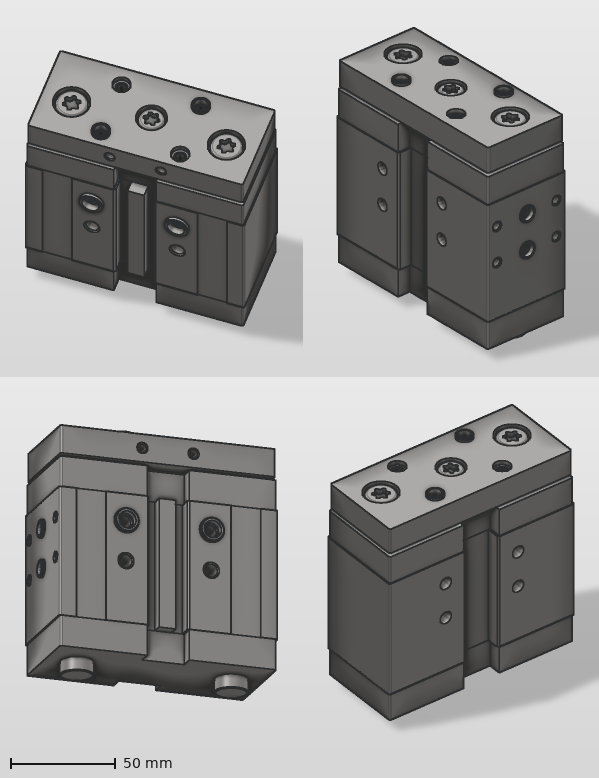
import cadquery as cq
import math

barrel_width, barrel_depth, barrel_height = 110.5, 49.1, 64.7
cap_width, cap_depth, cap_height = 109.3, 48.2, 15.3
plate_width, plate_depth, plate_height = 108.5, 47.2, 14.0
plate_gap = 1.8
corner_radius = 1.0

slot_floor_y = 16.8
barrel_slot_width = 19.4
slot_edge_chamfer = 1.0
cap_slot_width = barrel_slot_width + 2 * slot_edge_chamfer
rib_width, rib_front_y = 8.4, 22.8

recess_inner_x, recess_outer_x = 31.6, 46.6
recess_depth = (barrel_depth - cap_depth) / 2

guide_diameter, guide_x, guide_y = 16.0, 39.0, -3.6
guide_overhang, guide_chamfer = 7.0, 0.5
piston_diameter = 12.0
guide_bore_diameter, guide_head_diameter = 18.0, 15.6
piston_bore_diameter, piston_head_diameter = 15.0, 12.7
screw_bore_depth, head_drop, head_edge_radius = 4.8, 0.7, 1.0
guide_socket_diameter, piston_socket_diameter = 8.7, 8.0
socket_depth = 3.0
socket_lobes, socket_valley_ratio = 6, 0.72
guide_socket_angle, piston_socket_angle = 90, 0

small_sleeve_outer, small_sleeve_inner = 9.0, 6.6
large_sleeve_outer, large_sleeve_inner = 12.0, 8.6
sleeve_chamfer = 0.5
plate_seat_depth, plate_sleeve_rise = 2.4, 1.7
side_seat_depth, side_sleeve_rise = 1.7, 1.3
front_seat_depth, front_sleeve_rise = 1.8, 2.2

row_pitch = 20.0
upper_row_z = 66.2
lower_row_z = upper_row_z - row_pitch
through_hole_diameter, through_hole_mouth, through_hole_x = 6.6, 8.0, 21.6
plate_hole_diameter, plate_hole_mouth, plate_hole_x = 4.9, 6.0, 20.0
plate_hole_back_y, plate_hole_front_y = 14.0, -15.9
blind_diameter, blind_mouth, blind_depth = 4.3, 5.5, 9.6
side_blind_y = 18.7
plate_blind_x = 12.9
drill_point_angle = 120

barrel_bottom = cap_height
barrel_top = barrel_bottom + barrel_height
housing_top = barrel_top + cap_height
plate_bottom = housing_top + plate_gap
plate_top = plate_bottom + plate_height
barrel_front = -barrel_depth / 2
barrel_left = -barrel_width / 2
plate_front = -plate_depth / 2

guide_places = [(-guide_x, guide_y), (guide_x, guide_y)]
plate_hole_places = [(x, y) for x in (-plate_hole_x, plate_hole_x)
                     for y in (plate_hole_front_y, plate_hole_back_y)]
plate_sleeve_places = [(-plate_hole_x, plate_hole_front_y), (plate_hole_x, plate_hole_back_y)]

INTO_PLATE = (0, 0, -1)
INTO_FRONT = (0, 1, 0)
INTO_SIDE = (1, 0, 0)


def block(width, depth, height, bottom):
    """Centred block with rounded upright edges."""
    box = cq.Workplane("XY").box(width, depth, height, centered=(True, True, False))
    return box.edges("|Z").fillet(corner_radius).translate((0, 0, bottom))


def box_between(x_range, y_range, z_range):
    size = [end - start for start, end in (x_range, y_range, z_range)]
    corner = (x_range[0], y_range[0], z_range[0])
    return cq.Workplane("XY").box(*size, centered=False).translate(corner)


def cylinder(diameter, length, start, direction):
    solid = cq.Solid.makeCylinder(diameter / 2, length, cq.Vector(*start), cq.Vector(*direction))
    return cq.Workplane(obj=solid)


def cone(start_diameter, end_diameter, length, start, direction):
    solid = cq.Solid.makeCone(
        start_diameter / 2, end_diameter / 2, length, cq.Vector(*start), cq.Vector(*direction))
    return cq.Workplane(obj=solid)


def along(start, direction, distance):
    return tuple(s + d * distance for s, d in zip(start, direction))


def countersunk_hole(diameter, mouth, depth, start, direction):
    """Hole with a 45 degree mouth."""
    sink = cone(mouth, diameter, (mouth - diameter) / 2, start, direction)
    return cylinder(diameter, depth, start, direction).union(sink)


def blind_hole(start, direction):
    """Small tapped hole that ends in a drill point."""
    point_length = blind_diameter / 2 / math.tan(math.radians(drill_point_angle / 2))
    point = cone(blind_diameter, 0, point_length, along(start, direction, blind_depth), direction)
    return countersunk_hole(blind_diameter, blind_mouth, blind_depth, start, direction).union(point)


def slot_prism(width, face_y, floor_y, bottom, height):
    """Upright prism between the slot floor at floor_y and the face at face_y."""
    y_range = sorted((face_y, floor_y))
    return box_between((-width / 2, width / 2), y_range, (bottom, bottom + height))


def barrel_slot(face_y, floor_y):
    """Slot with bevelled edges where it meets the face."""
    half = barrel_slot_width / 2
    inward = math.copysign(slot_edge_chamfer, -face_y)
    outline = [
        (-half, floor_y), (half, floor_y), (half, face_y + inward), (half + slot_edge_chamfer, face_y),
        (-half - slot_edge_chamfer, face_y), (-half, face_y + inward),
    ]
    profile = cq.Workplane("XY", origin=(0, 0, barrel_bottom)).polyline(outline).close()
    return profile.extrude(barrel_height)


def rod_bores(bottom, height, with_piston):
    bores = cq.Workplane("XY", origin=(0, 0, bottom)).pushPoints(guide_places)
    bores = bores.circle(guide_diameter / 2).extrude(height)
    if with_piston:
        bores = bores.union(cylinder(piston_diameter, height, (0, 0, bottom), (0, 0, 1)))
    return bores


def make_barrel():
    barrel = block(barrel_width, barrel_depth, barrel_height, barrel_bottom)
    barrel = barrel.cut(barrel_slot(barrel_front, -slot_floor_y))
    barrel = barrel.cut(barrel_slot(-barrel_front, slot_floor_y))
    rib = slot_prism(rib_width, -rib_front_y, -slot_floor_y, barrel_bottom, barrel_height)
    barrel = barrel.union(rib)

    for x_range in ((-recess_outer_x, -recess_inner_x), (recess_inner_x, recess_outer_x)):
        y_range = (barrel_front, barrel_front + recess_depth)
        barrel = barrel.cut(box_between(x_range, y_range, (barrel_bottom, barrel_top)))

    for x in (-through_hole_x, through_hole_x):
        seat = (x, barrel_front, upper_row_z)
        seat_floor = along(seat, INTO_FRONT, front_seat_depth)
        barrel = barrel.cut(cylinder(large_sleeve_outer, front_seat_depth, seat, INTO_FRONT))
        for start in (seat_floor, (x, barrel_front, lower_row_z)):
            barrel = barrel.cut(countersunk_hole(
                through_hole_diameter, through_hole_mouth, barrel_depth, start, INTO_FRONT))

    for z in (lower_row_z, upper_row_z):
        barrel = barrel.cut(
            cylinder(small_sleeve_outer, side_seat_depth, (barrel_left, 0, z), INTO_SIDE))
        for y in (-side_blind_y, side_blind_y):
            barrel = barrel.cut(blind_hole((barrel_left, y, z), INTO_SIDE))

    return barrel.cut(rod_bores(barrel_bottom, barrel_height, with_piston=True))


def make_cap(bottom, with_piston):
    cap = block(cap_width, cap_depth, cap_height, bottom)
    for side in (-1, 1):
        cap = cap.cut(slot_prism(
            cap_slot_width, side * cap_depth / 2, side * slot_floor_y, bottom, cap_height))
    return cap.cut(rod_bores(bottom, cap_height, with_piston))


def torx_socket(diameter, place, top, first_lobe_angle):
    """Six-lobed screw socket: arcs over the lobe tips alternate with arcs through the valleys."""
    tip_radius = diameter / 2
    valley_radius = tip_radius * socket_valley_ratio
    join_radius = (tip_radius + valley_radius) / 2
    arc_angle = 360 / (2 * socket_lobes)

    def rim_point(radius, arc_steps):
        angle = math.radians(first_lobe_angle + arc_steps * arc_angle)
        return radius * math.cos(angle), radius * math.sin(angle)

    socket = cq.Workplane("XY", origin=(*place, top - socket_depth)).moveTo(*rim_point(join_radius, -0.5))
    for lobe in range(socket_lobes):
        tip = 2 * lobe
        socket = socket.threePointArc(rim_point(tip_radius, tip), rim_point(join_radius, tip + 0.5))
        socket = socket.threePointArc(rim_point(valley_radius, tip + 1), rim_point(join_radius, tip + 1.5))
    return socket.close().extrude(socket_depth)


def add_screw(plate, place, bore_diameter, head_diameter, socket_diameter, socket_angle):
    bore_floor = plate_top - screw_bore_depth
    head_top = plate_top - head_drop
    plate = plate.cut(cylinder(bore_diameter, screw_bore_depth, (*place, plate_top), INTO_PLATE))
    head = cylinder(head_diameter, head_top - bore_floor, (*place, bore_floor), (0, 0, 1))
    head = head.faces(">Z").edges().fillet(head_edge_radius)
    return plate.union(head).cut(torx_socket(socket_diameter, place, head_top, socket_angle))


def make_moving_unit():
    unit = block(plate_width, plate_depth, plate_height, plate_bottom)

    for place in plate_hole_places:
        seat = (*place, plate_top)
        seat_floor = along(seat, INTO_PLATE, plate_seat_depth)
        unit = unit.cut(cylinder(small_sleeve_outer, plate_seat_depth, seat, INTO_PLATE))
        unit = unit.cut(countersunk_hole(
            plate_hole_diameter, plate_hole_mouth, plate_height, seat_floor, INTO_PLATE))

    for x in (-plate_blind_x, plate_blind_x):
        middle_z = plate_bottom + plate_height / 2
        unit = unit.cut(blind_hole((x, plate_front, middle_z), INTO_FRONT))

    for place in guide_places:
        rod = cylinder(
            guide_diameter, plate_bottom + guide_overhang, (*place, -guide_overhang), (0, 0, 1))
        unit = unit.union(rod.faces("<Z").edges().chamfer(guide_chamfer))
        unit = add_screw(
            unit, place, guide_bore_diameter, guide_head_diameter,
            guide_socket_diameter, guide_socket_angle)

    piston_length = plate_bottom - barrel_bottom
    unit = unit.union(cylinder(piston_diameter, piston_length, (0, 0, barrel_bottom), (0, 0, 1)))
    return add_screw(
        unit, (0, 0), piston_bore_diameter, piston_head_diameter,
        piston_socket_diameter, piston_socket_angle)


def make_sleeve(outer, inner, seat_depth, rise, seat, direction):
    """Ring seated in a face, with its outer rim chamfered."""
    top = along(seat, direction, -rise)
    length = seat_depth + rise
    rim = cone(outer - 2 * sleeve_chamfer, outer, sleeve_chamfer, top, direction)
    wall_start = along(top, direction, sleeve_chamfer)
    wall = cylinder(outer, length - sleeve_chamfer, wall_start, direction)
    return rim.union(wall).cut(cylinder(inner, length, top, direction))


def make_sleeves():
    sleeves = []
    for place in plate_sleeve_places:
        sleeves.append(make_sleeve(
            small_sleeve_outer, small_sleeve_inner, plate_seat_depth, plate_sleeve_rise,
            (*place, plate_top), INTO_PLATE))
    for z in (lower_row_z, upper_row_z):
        sleeves.append(make_sleeve(
            small_sleeve_outer, small_sleeve_inner, side_seat_depth, side_sleeve_rise,
            (barrel_left, 0, z), INTO_SIDE))
    for x in (-through_hole_x, through_hole_x):
        sleeves.append(make_sleeve(
            large_sleeve_outer, large_sleeve_inner, front_seat_depth, front_sleeve_rise,
            (x, barrel_front, upper_row_z), INTO_FRONT))
    return sleeves


barrel = make_barrel()
lower_cap = make_cap(0, with_piston=False)
upper_cap = make_cap(barrel_top, with_piston=True)
moving_unit = make_moving_unit()
sleeves = make_sleeves()

result = cq.Compound.makeCompound([
    barrel.val(), lower_cap.val(), upper_cap.val(), moving_unit.val(),
    *[sleeve.val() for sleeve in sleeves],
])